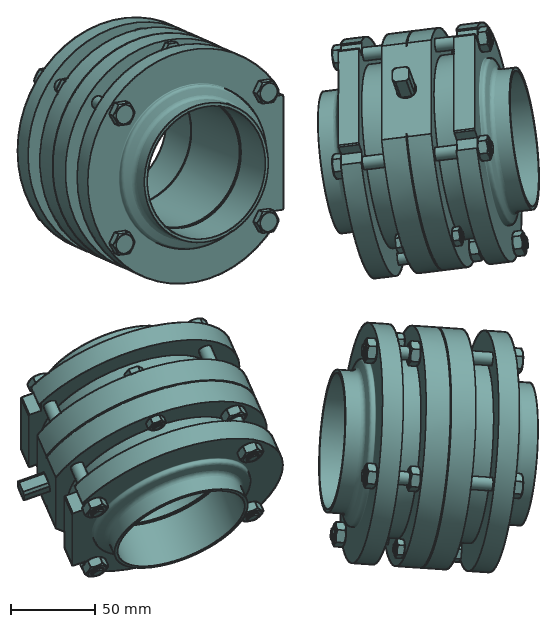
import cadquery as cq
import math

pipe_half_length = 58.0
pipe_radius = 42.5
bore_radius = 40.5

disc_radius = 71.5
disc_flat_y = 62.8
centre_half_width = 15.0
tube_radius = 55.0
flange_inner_x = 28.75
flange_outer_x = 41.25
parting_width = 0.5
parting_depth = 1.0

notch_floor_z = 35.2
notch_top_z = 44.0
notch_wall_y = 54.7

boss_radius = 50.0
boss_edge_x = 44.4
boss_cone_angle = 18.0
boss_edge_fillet = 1.9
boss_root_fillet = 0.5
pipe_root_fillet = 2.7

ball_radius = 50.0
ball_bore_radius = 40.2
ball_half_length = 28.1
stem_radius = 6.0
stem_square = 10.0
stem_foot_y = 46.0
stem_end_y = 79.0

tie_y = 49.4
tie_z = 39.7
tie_radius = 4.0
tie_hex = 13.0
tie_nut_height = 6.5
tie_head_height = 5.5
tie_tip_x = -49.1
tie_tip_chamfer = 0.8

clamp_z = 65.25
clamp_radius = 3.0
clamp_hex = 10.0
clamp_nut_height = 5.0
clamp_head_height = 4.0
clamp_tip_x = -21.0
clamp_tip_chamfer = 0.6

hex_face_ratio = 0.9
hex_chamfer_angle = 30.0


def x_cylinder(radius, x_start, x_end, y=0.0, z=0.0):
    """Round bar parallel to X."""
    return cq.Workplane("YZ", origin=(x_start, y, z)).circle(radius).extrude(x_end - x_start)


def hexagon(flats, x_start, x_end, y, z, chamfer_start=False, chamfer_end=False):
    """Hexagon with flats facing +Z and -Z and 30 degree chamfers on the chosen ends."""
    corner_radius = flats / math.sqrt(3)
    face_radius = hex_face_ratio * flats / 2
    drop = (corner_radius - face_radius) * math.tan(math.radians(hex_chamfer_angle))
    body = (
        cq.Workplane("YZ", origin=(x_start, y, z))
        .polygon(6, 2 * corner_radius)
        .extrude(x_end - x_start)
    )
    start_radius = face_radius if chamfer_start else corner_radius
    end_radius = face_radius if chamfer_end else corner_radius
    envelope = (
        cq.Workplane("XY", origin=(0, y, z))
        .moveTo(x_start, 0)
        .lineTo(x_start, start_radius)
        .lineTo(x_start + drop, corner_radius)
        .lineTo(x_end - drop, corner_radius)
        .lineTo(x_end, end_radius)
        .lineTo(x_end, 0)
        .close()
        .revolve(360, (0, 0, 0), (1, 0, 0))
    )
    return body.intersect(envelope)


def weld_end():
    """Flange disc with its boss and pipe stub, on the +X side."""
    cone_run = (boss_radius - pipe_radius) * math.tan(math.radians(boss_cone_angle))
    cone_end_x = boss_edge_x + cone_run
    end = (
        cq.Workplane("XY")
        .moveTo(flange_inner_x, 0)
        .lineTo(flange_inner_x, disc_radius)
        .lineTo(flange_outer_x, disc_radius)
        .lineTo(flange_outer_x, boss_radius)
        .lineTo(boss_edge_x, boss_radius)
        .lineTo(cone_end_x, pipe_radius)
        .lineTo(pipe_half_length, pipe_radius)
        .lineTo(pipe_half_length, 0)
        .close()
        .revolve(360, (0, 0, 0), (1, 0, 0))
    )
    corner_fillets = [
        (flange_outer_x, boss_radius, boss_root_fillet),
        (boss_edge_x, boss_radius, boss_edge_fillet),
        (cone_end_x, pipe_radius, pipe_root_fillet),
    ]
    reach = 0.1
    for x, radius, fillet in corner_fillets:
        ring = cq.selectors.BoxSelector(
            (x - reach, -radius - reach, -radius - reach),
            (x + reach, radius + reach, radius + reach),
            boundingbox=True,
        )
        end = end.edges(ring).edges("%CIRCLE").fillet(fillet)

    notch_height = notch_top_z - notch_floor_z
    for side in (-1, 1):
        notch = cq.Workplane("XY").box(
            flange_outer_x - flange_inner_x,
            disc_radius - notch_wall_y,
            notch_height,
        ).translate((
            (flange_inner_x + flange_outer_x) / 2,
            (notch_wall_y + disc_radius) / 2,
            side * (notch_floor_z + notch_height / 2),
        ))
        end = end.cut(notch)
    return end


def centre_discs():
    """Pair of centre discs, marked by the parting groove between them."""
    discs = x_cylinder(disc_radius, -centre_half_width, centre_half_width)
    groove = (
        cq.Workplane("YZ", origin=(-parting_width / 2, 0, 0))
        .circle(disc_radius)
        .circle(disc_radius - parting_depth)
        .extrude(parting_width)
    )
    return discs.cut(groove)


def tie_bolt(y, z, has_middle_nut):
    """Tie bolt with its end nut on -X and its head on +X."""
    head_end_x = flange_outer_x + tie_head_height
    nut_end_x = -flange_outer_x - tie_nut_height
    bolt = x_cylinder(tie_radius, tie_tip_x, flange_outer_x, y, z)
    bolt = bolt.faces("<X").chamfer(tie_tip_chamfer)
    bolt = bolt.union(hexagon(tie_hex, nut_end_x, -flange_outer_x, y, z, True, True))
    bolt = bolt.union(hexagon(tie_hex, flange_outer_x, head_end_x, y, z, False, True))
    if has_middle_nut:
        middle_end_x = -centre_half_width - tie_nut_height
        bolt = bolt.union(hexagon(tie_hex, middle_end_x, -centre_half_width, y, z, True, True))
    return bolt


def clamp_bolt(z):
    """Clamp bolt with its nut on -X and a plain head on +X."""
    nut_end_x = -centre_half_width - clamp_nut_height
    head_end_x = centre_half_width + clamp_head_height
    bolt = x_cylinder(clamp_radius, clamp_tip_x, centre_half_width, 0, z)
    bolt = bolt.faces("<X").chamfer(clamp_tip_chamfer)
    bolt = bolt.union(hexagon(clamp_hex, nut_end_x, -centre_half_width, 0, z, True, True))
    return bolt.union(hexagon(clamp_hex, centre_half_width, head_end_x, 0, z))


def make_housing():
    end = weld_end()
    body = x_cylinder(tube_radius, -flange_inner_x, flange_inner_x)
    body = body.union(centre_discs()).union(end).union(end.mirror("YZ"))

    flat_cut = cq.Workplane("XZ", origin=(0, disc_flat_y, 0)).rect(
        2 * pipe_half_length, 2 * disc_radius
    ).extrude(disc_flat_y - disc_radius)
    body = body.cut(flat_cut)

    for side in (-1, 1):
        body = body.union(clamp_bolt(side * clamp_z))
        body = body.union(tie_bolt(-tie_y, side * tie_z, True))
        body = body.union(tie_bolt(tie_y, side * tie_z, False))

    stem_hole = cq.Workplane("XZ").circle(stem_radius).extrude(-disc_radius)
    body = body.cut(x_cylinder(bore_radius, -pipe_half_length, pipe_half_length))
    return body.cut(cq.Workplane("XY").sphere(ball_radius)).cut(stem_hole)


def make_stem():
    shank = cq.Workplane("XZ", origin=(0, stem_foot_y, 0)).circle(stem_radius)
    shank = shank.extrude(stem_foot_y - disc_flat_y)
    drive_length = stem_end_y - disc_flat_y
    drive = cq.Workplane("XZ", origin=(0, disc_flat_y, 0)).circle(stem_radius)
    drive = drive.extrude(-drive_length)
    square = cq.Workplane("XZ", origin=(0, disc_flat_y, 0)).rect(stem_square, stem_square)
    drive = drive.intersect(square.extrude(-drive_length))
    return shank.union(drive)


def make_ball(stem_body):
    ball = cq.Workplane("XY").sphere(ball_radius)
    ball = ball.intersect(x_cylinder(ball_radius, -ball_half_length, ball_half_length))
    ball = ball.cut(x_cylinder(ball_bore_radius, -ball_half_length, ball_half_length))
    return ball.cut(stem_body)


housing = make_housing()
stem = make_stem()
ball = make_ball(stem)

result = cq.Compound.makeCompound([housing.val(), stem.val(), ball.val()])